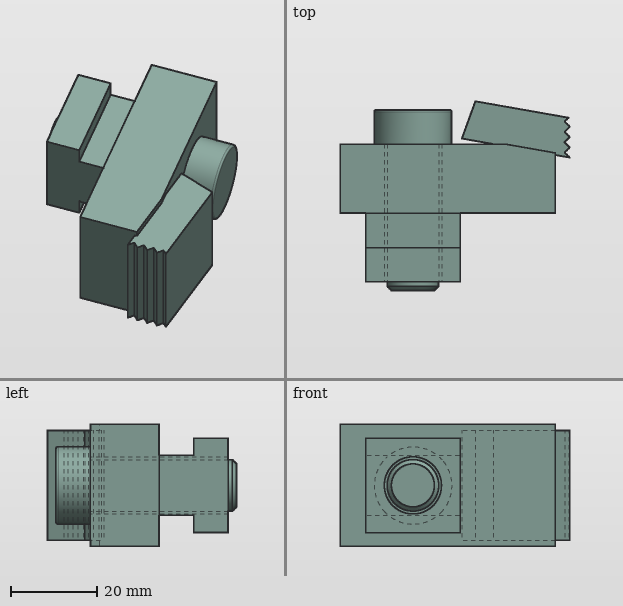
import cadquery as cq
import math

body_length = 50.0
body_thickness = 16.0
body_height = 28.4
slope_angle = 10.0
slope_start_x = 38.5

screw_x = 16.9
nut_width = 22.0
nut_neck_height = 14.0
nut_neck_depth = 8.0
nut_head_depth = 8.0

screw_diameter = 12.0
screw_head_diameter = 18.0
screw_head_length = 8.0
screw_head_rounding = 0.5
screw_tip_projection = 2.0
screw_tip_chamfer = 1.0
clearance_diameter = 13.3

jaw_height = 25.6
jaw_top_corner = (31.4, 26.0)
jaw_bottom_corner = (28.25, 17.3)
tooth_tip_x = 53.36
tooth_pitch = 2.4
tooth_depth = tooth_pitch / 2
full_tooth_count = 3

slope = math.tan(math.radians(slope_angle))
nut_depth = nut_neck_depth + nut_head_depth
screw_tip_y = -(nut_depth + screw_tip_projection)


def extrude_centred(outline, height):
    """Extrude an XY outline symmetrically about Z = 0."""
    return outline.extrude(height / 2, both=True)


def cylinder_along_y(diameter, start_y, end_y):
    """Cylinder on the screw axis between two Y positions."""
    plane = cq.Plane(origin=(screw_x, start_y, 0), xDir=(1, 0, 0), normal=(0, 1, 0))
    return cq.Workplane(plane).circle(diameter / 2).extrude(end_y - start_y)


def make_body():
    end_y = body_thickness - (body_length - slope_start_x) * slope
    outline = (
        cq.Workplane("XY")
        .lineTo(body_length, 0)
        .lineTo(body_length, end_y)
        .lineTo(slope_start_x, body_thickness)
        .lineTo(0, body_thickness)
        .close()
    )
    return extrude_centred(outline, body_height)


def make_nut():
    neck = cq.Workplane("XY").center(screw_x, -nut_neck_depth / 2).rect(nut_width, nut_neck_depth)
    head_y = -(nut_neck_depth + nut_head_depth / 2)
    head = cq.Workplane("XY").center(screw_x, head_y).rect(nut_width, nut_head_depth)
    return extrude_centred(neck, nut_neck_height).union(extrude_centred(head, nut_width))


def make_screw():
    head_end_y = body_thickness + screw_head_length
    shank = cylinder_along_y(screw_diameter, screw_tip_y, body_thickness)
    shank = shank.faces("<Y").chamfer(screw_tip_chamfer)
    head = cylinder_along_y(screw_head_diameter, body_thickness, head_end_y)
    head = head.faces(">Y").edges().fillet(screw_head_rounding)
    return shank.union(head)


def make_jaw():
    top_x, top_y = jaw_top_corner
    bottom_x, bottom_y = jaw_bottom_corner
    valley_x = tooth_tip_x - tooth_depth

    lowest_tip_y = bottom_y - (tooth_tip_x - bottom_x) * slope
    points = [jaw_bottom_corner, (tooth_tip_x, lowest_tip_y)]
    for tooth in range(1, full_tooth_count + 1):
        tip_y = lowest_tip_y + tooth * tooth_pitch
        points.append((valley_x, tip_y - tooth_pitch / 2))
        points.append((tooth_tip_x, tip_y))

    last_valley_y = lowest_tip_y + (full_tooth_count + 0.5) * tooth_pitch
    top_edge_y = top_y - (valley_x - top_x) * slope
    flank_run = (top_edge_y - last_valley_y) / (1 + slope)
    points.append((valley_x, last_valley_y))
    points.append((valley_x + flank_run, last_valley_y + flank_run))
    points.append(jaw_top_corner)

    return extrude_centred(cq.Workplane("XY").polyline(points).close(), jaw_height)


clearance_hole = cylinder_along_y(clearance_diameter, -nut_depth, body_thickness)
clamp = make_body().union(make_nut()).cut(clearance_hole)
result = clamp.union(make_jaw()).union(make_screw())